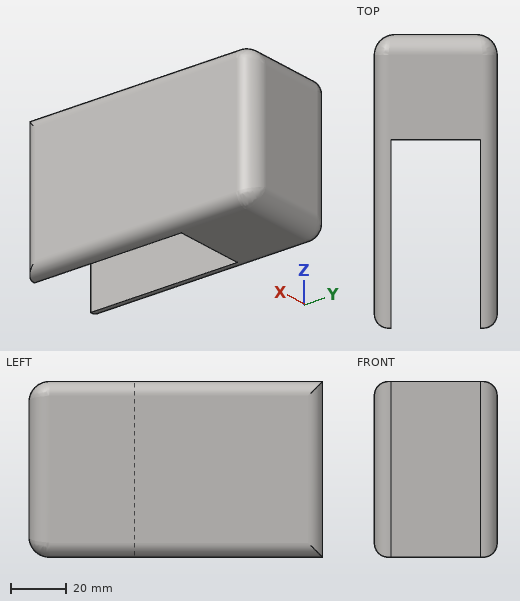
import cadquery as cq

width = 44.4
length = 106.0
height = 63.5

slot_width = 32.2
slot_depth = 68.0

side_radius = 5.2
back_radius = 7.5


def rounded_block():
    """Block with its back face and both side faces rounded; the front stays flat."""
    block = cq.Workplane("XY").box(width, length, height)
    block = block.faces(">Y").edges().fillet(back_radius)
    return block.faces("<X or >X").edges("not >Y").fillet(side_radius)


def slot():
    """Rectangular cutter for the open slot between the two side plates."""
    cutter = cq.Workplane("XY").box(slot_width, slot_depth, height)
    return cutter.translate((0, (slot_depth - length) / 2, 0))


result = rounded_block().cut(slot())